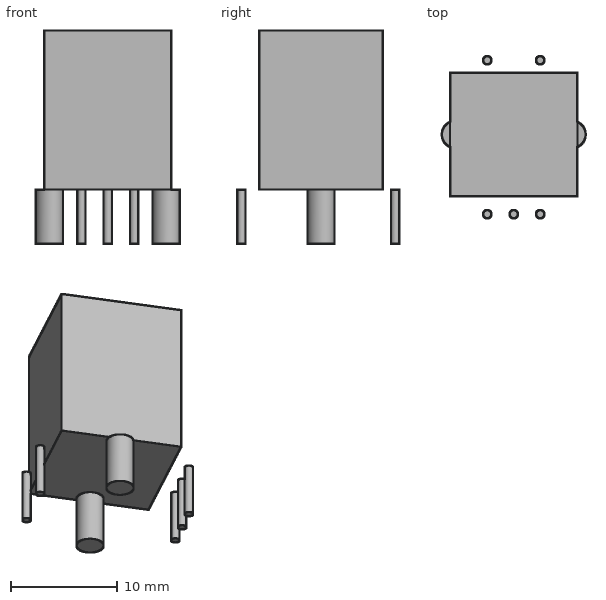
import cadquery as cq

housing_length = 12.0
housing_width = 11.65
total_height = 20.1
leg_length = 5.1
housing_height = total_height - leg_length

post_diameter = 2.57
post_spacing = 11.0

pin_diameter = 0.8
pin_pitch = 2.5
pin_row_spacing = 14.5
pin_row_center_y = -0.26
front_pin_y = pin_row_center_y - pin_row_spacing / 2
back_pin_y = pin_row_center_y + pin_row_spacing / 2


def make_housing():
    """Plain rectangular block centred on the Z axis."""
    return cq.Workplane("XY").box(
        housing_length, housing_width, housing_height, centered=(True, True, False)
    )


def make_leg(diameter, x, y):
    """Round leg hanging down from the plane of the housing underside."""
    return cq.Workplane("XY").center(x, y).circle(diameter / 2).extrude(-leg_length)


def make_post(x):
    """Mounting post on the housing centreline."""
    return make_leg(post_diameter, x, 0)


def make_pin(x, y):
    """Contact pin standing clear of the housing."""
    return make_leg(pin_diameter, x, y)


housing = make_housing()

posts = [make_post(side * post_spacing / 2) for side in (-1, 1)]

pins = [make_pin(step * pin_pitch, front_pin_y) for step in (-1, 0, 1)]
pins += [make_pin(step * pin_pitch, back_pin_y) for step in (-1, 1)]

result = cq.Compound.makeCompound([body.val() for body in [housing, *posts, *pins]])